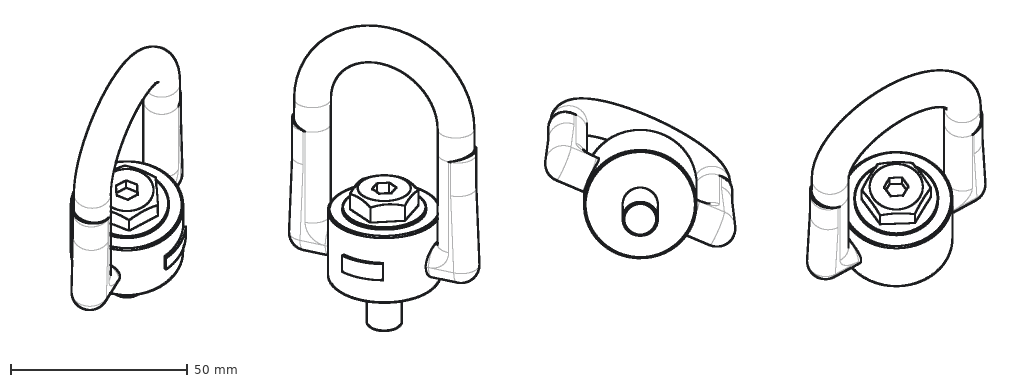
import cadquery as cq
import math

body_bottom = 15.3
body_top = 37.1
washer_top = 37.8
head_top = 44.0
total_height = 95.6

body_diameter = 32.0
body_radius = body_diameter / 2
body_chamfer = 0.5
washer_radius = 11.95
washer_chamfer = 0.24
stud_diameter = 10.0
stud_chamfer = 0.5

head_across_flats = 17.0
head_top_circle_radius = 7.6
head_chamfer_angle = 30.0
socket_across_flats = 6.0
socket_depth = 3.4

pad_height = 0.8
pad_bottom = 23.3
pad_top = 28.6
pad_half_width = 6.0

bar_radius = 5.3
bow_outer_width = 55.0
bow_outer_radius = bow_outer_width / 2
bow_radius = bow_outer_radius - bar_radius
bow_center_z = total_height - bow_outer_radius
foot_z = 24.4
bend_radius = 6.2
bend_end_y = bow_radius - bend_radius
bend_top = foot_z + bend_radius
foot_end_y = 11.5

leg_outer_upper = 28.1
leg_outer_lower = 29.1
spread_start_z = 49.2
shoulder_outer_z = 61.9
shoulder_inner_z = 60.1
upper_y = leg_outer_upper - bar_radius
corner_y = leg_outer_lower - bar_radius


def hexagon_diameter(across_flats):
    """Corner-to-corner size of a hexagon."""
    return across_flats / math.cos(math.radians(30))


def cylinder(radius, bottom, top):
    return cq.Workplane("XY").workplane(offset=bottom).circle(radius).extrude(top - bottom)


def make_body():
    stud = cylinder(stud_diameter / 2, 0, body_bottom).faces("<Z").chamfer(stud_chamfer)
    drum = cylinder(body_radius, body_bottom, body_top)
    drum = drum.faces("<Z or >Z").chamfer(body_chamfer)
    washer = cylinder(washer_radius, body_top, washer_top).faces(">Z").chamfer(washer_chamfer)
    return drum.union(stud).union(washer)


def make_bolt_head():
    corner_diameter = hexagon_diameter(head_across_flats)
    head = (
        cq.Workplane("XY").workplane(offset=washer_top)
        .polygon(6, corner_diameter).extrude(head_top - washer_top)
    )

    corner_radius = corner_diameter / 2
    corner_drop = (corner_radius - head_top_circle_radius) * math.tan(math.radians(head_chamfer_angle))
    envelope = (
        cq.Workplane("XZ")
        .moveTo(0, washer_top)
        .lineTo(corner_radius, washer_top)
        .lineTo(corner_radius, head_top - corner_drop)
        .lineTo(head_top_circle_radius, head_top)
        .lineTo(0, head_top)
        .close()
        .revolve(360, (0, 0, 0), (0, 1, 0))
    )
    socket = (
        cq.Workplane("XY").workplane(offset=head_top - socket_depth)
        .polygon(6, hexagon_diameter(socket_across_flats)).extrude(socket_depth)
    )
    return head.intersect(envelope).cut(socket)


def make_marking_pad():
    """Plain curved pad that stands off the body surface."""
    pad_radius = body_radius + pad_height
    ring = cylinder(pad_radius, pad_bottom, pad_top)
    angle = math.asin(pad_half_width / body_radius)
    reach = 2 * pad_radius
    wedge = (
        cq.Workplane("XY").workplane(offset=pad_bottom)
        .polyline([
            (0, 0),
            (reach * math.cos(angle), -reach * math.sin(angle)),
            (reach * math.cos(angle), reach * math.sin(angle)),
        ])
        .close()
        .extrude(pad_top - pad_bottom)
    )
    return ring.intersect(wedge)


def make_bow():
    """Round top arch with its two full-round legs down to the shoulders."""
    path = (
        cq.Workplane("YZ")
        .moveTo(-bow_radius, shoulder_inner_z)
        .lineTo(-bow_radius, bow_center_z)
        .threePointArc((0, bow_center_z + bow_radius), (bow_radius, bow_center_z))
        .lineTo(bow_radius, shoulder_inner_z)
    )
    section = cq.Workplane("XY", origin=(0, -bow_radius, shoulder_inner_z)).circle(bar_radius)
    return section.sweep(path)


def half_disc(plane, center, side):
    """Half of the bar section, bulging towards +local y (side 1) or -local y (side -1)."""
    return (
        cq.Workplane(plane, origin=center)
        .moveTo(-bar_radius, 0)
        .threePointArc((0, side * bar_radius), (bar_radius, 0))
        .close()
    )


def make_inner_half():
    """Inner half of the leg and of the bend that leads into the foot."""
    start = (0, bow_radius, bend_top)
    straight = half_disc("XY", start, -1).extrude(shoulder_inner_z - bend_top)
    bend = half_disc("XY", start, -1).revolve(90, (1, -bend_radius, 0), (-1, -bend_radius, 0))
    return straight.union(bend)


def make_web():
    """Flat-sided middle of the leg, between the inner and outer round halves."""
    diagonal = bend_radius * math.sqrt(0.5)
    return (
        cq.Workplane("YZ")
        .moveTo(bow_radius, shoulder_inner_z)
        .lineTo(upper_y, shoulder_inner_z)
        .lineTo(upper_y, spread_start_z)
        .lineTo(corner_y, foot_z)
        .lineTo(bend_end_y, foot_z)
        .threePointArc((bend_end_y + diagonal, bend_top - diagonal), (bow_radius, bend_top))
        .close()
        .extrude(bar_radius, both=True)
    )


def make_outer_half():
    """Outer half of the leg with its ball corner and the underside of the foot."""
    upper_section = half_disc("XY", (0, upper_y, spread_start_z), 1)
    lower_section = half_disc("XY", (0, corner_y, foot_z), 1)
    straight = upper_section.extrude(shoulder_inner_z - spread_start_z)
    spread = cq.Workplane(cq.Solid.makeLoft([lower_section.val(), upper_section.val()], True))
    ball = (
        cq.Workplane("XY", origin=(0, corner_y, foot_z))
        .sphere(bar_radius, angle1=-90, angle2=0, angle3=180)
    )
    foot = half_disc("XZ", (0, corner_y, foot_z), -1).extrude(corner_y - bend_end_y)
    return straight.union(spread).union(ball).union(foot)


def make_shoulder():
    """Sloping end of the thickening, dropping from the outer side towards the bar."""
    rise = shoulder_outer_z - shoulder_inner_z
    slope_profile = (
        cq.Workplane("YZ")
        .moveTo(bow_radius, shoulder_inner_z)
        .lineTo(leg_outer_upper, shoulder_inner_z)
        .lineTo(leg_outer_upper, shoulder_outer_z)
        .close()
        .extrude(bar_radius, both=True)
    )
    round_side = (
        cq.Workplane("XY", origin=(0, upper_y, shoulder_inner_z))
        .circle(bar_radius).extrude(rise)
    )
    return round_side.intersect(slope_profile)


def make_leg():
    """Thickened leg with its foot, anchored inside the body."""
    anchor = (
        cq.Workplane("XZ", origin=(0, bend_end_y, foot_z))
        .circle(bar_radius).extrude(bend_end_y - foot_end_y)
    )
    return (
        make_web()
        .union(make_inner_half())
        .union(make_outer_half())
        .union(anchor)
    )


leg = make_leg()
shoulder = make_shoulder()
result = make_body().union(make_bolt_head()).union(make_marking_pad())
for part in (make_bow(), leg, leg.mirror("XZ"), shoulder, shoulder.mirror("XZ")):
    result = result.union(part, clean=False)